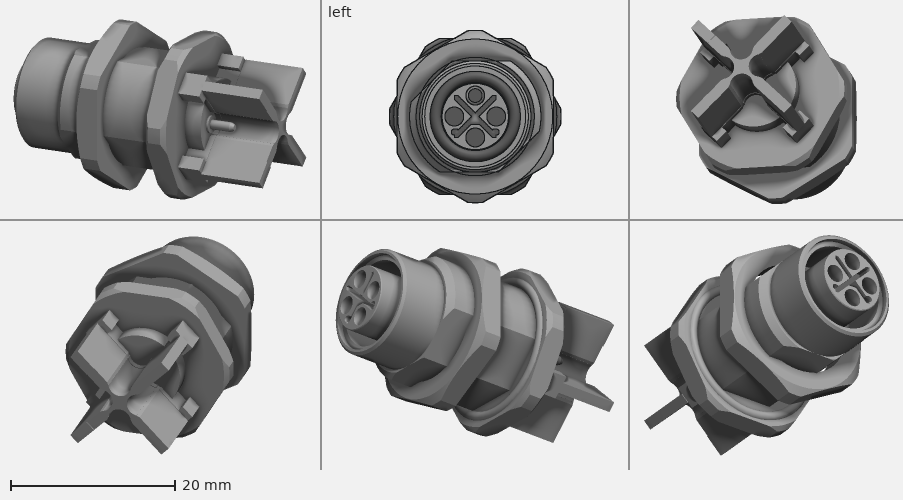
import cadquery as cq
import math

TOTAL_LENGTH = 34.95
SLEEVE_START = 1.5
THREAD_START = 7.7
FRONT_NUT_START = 11.45
FRONT_NUT_END = 14.35
SEAL_START = 20.95
REAR_NUT_START = 21.3
REAR_NUT_END = 24.05
CORE_END = 26.25
CLAMP_END = 26.98
PIN_COLLAR_END = 26.53
PIN_END = 29.65

THREAD_RADIUS = 8.0
THREAD_LEAD_IN_RADIUS = 7.2
THREAD_LEAD_IN_LENGTH = 0.77
BODY_FLAT_DISTANCE = 6.78
FLAT_ANGLES = (0, -45)
SLEEVE_RADIUS = 6.78
SLEEVE_CHAMFER = 0.3
MOUTH_RADIUS = 12.3 / 2
MOUTH_DEPTH = 0.77
SOCKET_RADIUS = 11.0 / 2
SOCKET_FLOOR = 8.4

INSERT_RADIUS = 8.3 / 2
INSERT_END = 14.68
INSERT_CHAMFER = 0.1
CONTACT_PITCH_RADIUS = 2.55
CONTACT_HOLE_DIAMETER = 2.3
CONTACT_HOLE_DEPTH = 7.0
TOP_CONTACT_DIAMETER = 1.68
TOP_CONTACT_STEP_DEPTH = 3.5
CROSS_SLOT_WIDTH = 0.63
CROSS_SLOT_DEPTH = 2.1
CROSS_SLOT_REACH = 2.55
CROSS_FOOT_LENGTH = 0.95
CROSS_FOOT_HEIGHT = 0.77
CROSS_FOOT_CENTER = (2.45, -1.9)
CROSS_WEB_HALF_WIDTH = 0.75
CROSS_WEB_BOTTOM = -0.98

NUT_HALF_FLATS = 9.5
FRONT_NUT_CORNER_RADIUS = 21.0 / 2
FRONT_NUT_FACE_RADIUS = 9.45
FRONT_NUT_CHAMFER = 0.55
REAR_NUT_CORNER_RADIUS = 10.45
REAR_NUT_FACE_RADIUS = 9.93
REAR_NUT_CHAMFER = 0.52
SEAL_OUTER_RADIUS = 9.2
SEAL_TUBE_RADIUS = 0.65

SHIELD_THICKNESS = 1.33
SHIELD_REACH = 8.18
SHIELD_TIP_LENGTH = 0.1
SHIELD_TIP_INNER = 5.25
CLAMP_THICKNESS = 2.97
CLAMP_REACH = 8.1
CLAMP_INNER = 6.43
CORE_RADIUS = 5.0
ROOT_THICKNESS = 1.45
ROOT_HOLLOW_RADIUS = 1.35
HOLLOW_RADIUS = 1.45
HOLLOW_PITCH_RADIUS = 2.35
HOLLOW_BEVEL_INNER = (2.15, 1.45)
HOLLOW_BEVEL_OUTER = (2.55, 1.6)
PIN_DIAMETER = 1.2
PIN_COLLAR_DIAMETER = 2.2
PIN_POINT_LENGTH = 0.5
PIN_POINT_DIAMETER = 0.7


def section(x):
    """Sketch plane across the axis at station x, with local axes Y and Z."""
    return cq.Workplane("YZ", origin=(x, 0, 0))


def cylinder(radius, start, end, y=0):
    return section(start).center(y, 0).circle(radius).extrude(end - start)


def revolved(points):
    """Solid of revolution about the X axis from (x, radius) points."""
    return cq.Workplane("XY").polyline(points).close().revolve(360, (0, 0), (1, 0))


def around_axis(solid, angle):
    return solid.rotate((0, 0, 0), (1, 0, 0), angle)


def make_body():
    thread = revolved([
        (THREAD_START, 0),
        (THREAD_START, THREAD_LEAD_IN_RADIUS),
        (THREAD_START + THREAD_LEAD_IN_LENGTH, THREAD_RADIUS),
        (REAR_NUT_END, THREAD_RADIUS),
        (REAR_NUT_END, 0),
    ])
    for angle in FLAT_ANGLES:
        slab = section(0).rect(3 * THREAD_RADIUS, 2 * BODY_FLAT_DISTANCE).extrude(TOTAL_LENGTH)
        thread = thread.intersect(around_axis(slab, angle))
    sleeve = cylinder(SLEEVE_RADIUS, SLEEVE_START, THREAD_START)
    sleeve = sleeve.faces("<X").edges().chamfer(SLEEVE_CHAMFER)
    mouth_floor = SLEEVE_START + MOUTH_DEPTH
    body = thread.union(sleeve)
    body = body.cut(cylinder(MOUTH_RADIUS, SLEEVE_START, mouth_floor))
    return body.cut(cylinder(SOCKET_RADIUS, mouth_floor, SOCKET_FLOOR))


def make_socket_seal():
    """Round seal filling the floor of the gap between the insert and the socket wall."""
    ring_radius = (SOCKET_RADIUS + INSERT_RADIUS) / 2
    tube_radius = (SOCKET_RADIUS - INSERT_RADIUS) / 2
    ring = cq.Workplane("XY").center(SOCKET_FLOOR, ring_radius).circle(tube_radius)
    return ring.revolve(360, (0, -ring_radius), (1, -ring_radius))


def make_cross_slot():
    """Diagonal cross with two widened feet and a small web below its middle."""
    reach = 2 * CROSS_SLOT_REACH
    bar = section(0).rect(2 * reach, CROSS_SLOT_WIDTH).extrude(CROSS_SLOT_DEPTH)
    cross = around_axis(bar, 45).union(around_axis(bar, -45))
    cross = cross.intersect(section(0).rect(reach, reach).extrude(CROSS_SLOT_DEPTH))
    web = section(0).polyline([
        (0, 0),
        (-CROSS_WEB_HALF_WIDTH, CROSS_WEB_BOTTOM),
        (CROSS_WEB_HALF_WIDTH, CROSS_WEB_BOTTOM),
    ])
    cross = cross.union(web.close().extrude(CROSS_SLOT_DEPTH))
    foot_y, foot_z = CROSS_FOOT_CENTER
    for side in (-1, 1):
        foot = section(0).center(side * foot_y, foot_z).slot2D(CROSS_FOOT_LENGTH, CROSS_FOOT_HEIGHT)
        cross = cross.union(foot.extrude(CROSS_SLOT_DEPTH))
    return cross


def make_insert():
    """Contact carrier with four holes, the top one narrowing partway down."""
    insert = cylinder(INSERT_RADIUS, 0, INSERT_END)
    insert = insert.faces("<X").edges().chamfer(INSERT_CHAMFER)
    holes = section(0).polarArray(CONTACT_PITCH_RADIUS, 0, 360, 4).circle(CONTACT_HOLE_DIAMETER / 2)
    insert = insert.cut(holes.extrude(CONTACT_HOLE_DEPTH))
    step_sleeve = (
        section(TOP_CONTACT_STEP_DEPTH)
        .center(0, CONTACT_PITCH_RADIUS)
        .circle(CONTACT_HOLE_DIAMETER / 2)
        .circle(TOP_CONTACT_DIAMETER / 2)
        .extrude(CONTACT_HOLE_DEPTH - TOP_CONTACT_STEP_DEPTH)
    )
    return insert.union(step_sleeve).cut(make_cross_slot())


def make_hexagon(start, end, angle):
    diameter = 2 * NUT_HALF_FLATS / math.cos(math.pi / 6)
    return around_axis(section(start).polygon(6, diameter).extrude(end - start), angle)


def make_front_nut():
    """Hexagon with flats on +-Y, chamfered on its front face, open around the body flats."""
    envelope = revolved([
        (FRONT_NUT_START, 0),
        (FRONT_NUT_START, FRONT_NUT_FACE_RADIUS),
        (FRONT_NUT_START + FRONT_NUT_CHAMFER, FRONT_NUT_CORNER_RADIUS),
        (FRONT_NUT_END, FRONT_NUT_CORNER_RADIUS),
        (FRONT_NUT_END, 0),
    ])
    nut = make_hexagon(FRONT_NUT_START, FRONT_NUT_END, 90).intersect(envelope)
    return nut.cut(cylinder(THREAD_LEAD_IN_RADIUS, FRONT_NUT_START, FRONT_NUT_END))


def make_rear_nut():
    """Hexagon with flats on +-Z, chamfered on both faces."""
    envelope = revolved([
        (REAR_NUT_START, 0),
        (REAR_NUT_START, REAR_NUT_FACE_RADIUS),
        (REAR_NUT_START + REAR_NUT_CHAMFER, REAR_NUT_CORNER_RADIUS),
        (REAR_NUT_END - REAR_NUT_CHAMFER, REAR_NUT_CORNER_RADIUS),
        (REAR_NUT_END, REAR_NUT_FACE_RADIUS),
        (REAR_NUT_END, 0),
    ])
    return make_hexagon(REAR_NUT_START, REAR_NUT_END, 0).intersect(envelope)


def make_panel_seal():
    """Round seal standing out of the front face of the rear nut."""
    ring_radius = SEAL_OUTER_RADIUS - SEAL_TUBE_RADIUS
    ring = cq.Workplane("XY").center(SEAL_START + SEAL_TUBE_RADIUS, ring_radius).circle(SEAL_TUBE_RADIUS)
    return ring.revolve(360, (0, -ring_radius), (1, -ring_radius))


def make_arm(inner, outer, thickness, start, end, angle):
    """Radial plate reaching from inner to outer radius at an angle from +Y."""
    arm = section(start).center((inner + outer) / 2, 0).rect(outer - inner, thickness)
    return around_axis(arm.extrude(end - start), angle)


def make_pin_hollows():
    """Four round channels with bevelled mouths, running between the shield plates."""
    root_channels = section(CORE_END).polarArray(HOLLOW_PITCH_RADIUS, 0, 360, 4)
    hollows = root_channels.circle(ROOT_HOLLOW_RADIUS).extrude(CLAMP_END - CORE_END)
    channels = section(CLAMP_END).polarArray(HOLLOW_PITCH_RADIUS, 0, 360, 4)
    hollows = hollows.union(channels.circle(HOLLOW_RADIUS).extrude(TOTAL_LENGTH - CLAMP_END))
    inner_y, inner_z = HOLLOW_BEVEL_INNER
    outer_y, outer_z = HOLLOW_BEVEL_OUTER
    mouth_outline = section(CORE_END).polyline([
        (inner_y, -inner_z),
        (outer_y, -outer_z),
        (outer_y, outer_z),
        (inner_y, inner_z),
    ])
    mouth = mouth_outline.close().extrude(TOTAL_LENGTH - CORE_END)
    for angle in (0, 90, 180, 270):
        hollows = hollows.union(around_axis(mouth, angle))
    return hollows


def make_shield():
    """Diagonal cross of plates with thicker clamped roots, hollowed around four pin places."""
    plate_end = TOTAL_LENGTH - SHIELD_TIP_LENGTH
    shield = cylinder(CORE_RADIUS, REAR_NUT_END, CORE_END)
    for angle in (45, 135, 225, 315):
        root = make_arm(0, CLAMP_INNER, ROOT_THICKNESS, REAR_NUT_END, CLAMP_END, angle)
        plate = make_arm(0, SHIELD_REACH, SHIELD_THICKNESS, CLAMP_END, plate_end, angle)
        clamp = make_arm(CLAMP_INNER, CLAMP_REACH, CLAMP_THICKNESS, REAR_NUT_END, CLAMP_END, angle)
        shield = shield.union(root).union(plate).union(clamp)
    for angle in (135, 225):
        tip = make_arm(SHIELD_TIP_INNER, SHIELD_REACH, SHIELD_THICKNESS, plate_end, TOTAL_LENGTH, angle)
        shield = shield.union(tip)
    return shield.cut(make_pin_hollows())


def make_pin():
    """Solder pin on the -Y side, with a collar at its root and a tapered point."""
    pin = cylinder(PIN_DIAMETER / 2, CORE_END, PIN_END, y=-CONTACT_PITCH_RADIUS)
    taper = (PIN_DIAMETER - PIN_POINT_DIAMETER) / 2
    pin = pin.faces(">X").edges().chamfer(PIN_POINT_LENGTH, taper)
    collar = cylinder(PIN_COLLAR_DIAMETER / 2, CORE_END, PIN_COLLAR_END, y=-CONTACT_PITCH_RADIUS)
    return pin.union(collar)


result = (
    make_body()
    .union(make_socket_seal())
    .union(make_insert())
    .union(make_front_nut())
    .union(make_rear_nut())
    .union(make_panel_seal())
    .union(make_shield())
    .union(make_pin())
)